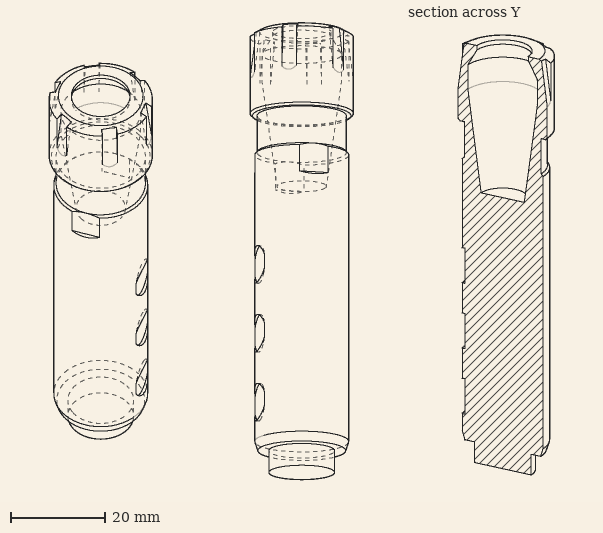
import cadquery as cq
import math


total_length = 96.0
nut_length = 18.25
nut_bottom = total_length - nut_length
shank_bottom = 4.75
shank_top = 69.75

stub_diameter = 14.0
shank_diameter = 20.0
neck_diameter = 19.0
nut_diameter = 22.0
nut_face_diameter = 18.0

shank_lead_length = 2.0
shank_lead_angle = 18.0
shank_top_chamfer = (shank_diameter - neck_diameter) / 2
nut_bottom_chamfer = 0.5
nut_top_angle = 30.0

mouth_diameter = 12.5
mouth_depth = 1.0
cavity_diameter = 17.0
flare_angle = 30.0
straight_end_depth = 10.5
taper_angle = 8.0
floor_diameter = 10.5

slot_count = 6
slot_width = 3.2
slot_top_radius = 9.55
slot_runout_depth = 10.5

flat_spacing = 19.0
flat_bottom = 63.5

seat_count = 3
seat_pitch = 15.0
lowest_seat_height = 14.75
seat_diameter = 8.0
seat_floor_radius = 9.3

overshoot = 1.0


def make_body():
    """Turned outside shape."""
    shank_radius = shank_diameter / 2
    neck_radius = neck_diameter / 2
    nut_radius = nut_diameter / 2
    nut_face_radius = nut_face_diameter / 2
    lead_step = shank_lead_length * math.tan(math.radians(shank_lead_angle))
    nut_top_drop = (nut_radius - nut_face_radius) * math.tan(math.radians(nut_top_angle))
    profile = [
        (0, 0),
        (stub_diameter / 2, 0),
        (stub_diameter / 2, shank_bottom),
        (shank_radius - lead_step, shank_bottom),
        (shank_radius, shank_bottom + shank_lead_length),
        (shank_radius, shank_top - shank_top_chamfer),
        (neck_radius, shank_top),
        (neck_radius, nut_bottom),
        (nut_radius - nut_bottom_chamfer, nut_bottom),
        (nut_radius, nut_bottom + nut_bottom_chamfer),
        (nut_radius, total_length - nut_top_drop),
        (nut_face_radius, total_length),
        (0, total_length),
    ]
    return cq.Workplane("XZ").polyline(profile).close().revolve(360, (0, 0), (0, 1))


def make_collet_cavity():
    """Blind collet cavity opening at the top of the nut."""
    mouth_radius = mouth_diameter / 2
    cavity_radius = cavity_diameter / 2
    floor_radius = floor_diameter / 2
    mouth_bottom = total_length - mouth_depth
    flare_bottom = mouth_bottom - (cavity_radius - mouth_radius) / math.tan(math.radians(flare_angle))
    straight_bottom = total_length - straight_end_depth
    floor_height = straight_bottom - (cavity_radius - floor_radius) / math.tan(math.radians(taper_angle))
    profile = [
        (0, floor_height),
        (floor_radius, floor_height),
        (cavity_radius, straight_bottom),
        (cavity_radius, flare_bottom),
        (mouth_radius, mouth_bottom),
        (mouth_radius, total_length),
        (0, total_length),
    ]
    return cq.Workplane("XZ").polyline(profile).close().revolve(360, (0, 0), (0, 1))


def make_nut_slots():
    """Straight-sided slots with a sloping floor, deepest at the nut face."""
    profile = [
        (slot_top_radius, total_length),
        (nut_diameter / 2, total_length - slot_runout_depth),
        (nut_diameter / 2 + overshoot, total_length - slot_runout_depth),
        (nut_diameter / 2 + overshoot, total_length),
    ]
    slot = cq.Workplane("XZ").polyline(profile).close().extrude(slot_width / 2, both=True)
    slots = cq.Workplane("XY")
    for index in range(slot_count):
        slots = slots.add(slot.rotate((0, 0, 0), (0, 0, 1), index * 360 / slot_count))
    return slots.combine()


def make_spanner_flats():
    """Two parallel flats below the neck, each with a lower shoulder sloping down and outward."""
    inner = flat_spacing / 2
    outer = shank_diameter / 2 + overshoot
    profile = [
        (inner, shank_top),
        (inner, flat_bottom),
        (outer, flat_bottom - (outer - inner)),
        (outer, shank_top),
    ]
    flat = cq.Workplane("YZ").polyline(profile).close().extrude(shank_diameter / 2, both=True)
    return flat.union(flat.mirror("XZ"))


def make_screw_seats():
    """Row of flat-bottomed round seats along the +X side."""
    heights = [lowest_seat_height + index * seat_pitch for index in range(seat_count)]
    return (
        cq.Workplane("YZ", origin=(seat_floor_radius, 0, 0))
        .pushPoints([(0, height) for height in heights])
        .circle(seat_diameter / 2)
        .extrude(shank_diameter / 2 + overshoot - seat_floor_radius)
    )


result = (
    make_body()
    .cut(make_collet_cavity())
    .cut(make_nut_slots())
    .cut(make_spanner_flats())
    .cut(make_screw_seats())
)